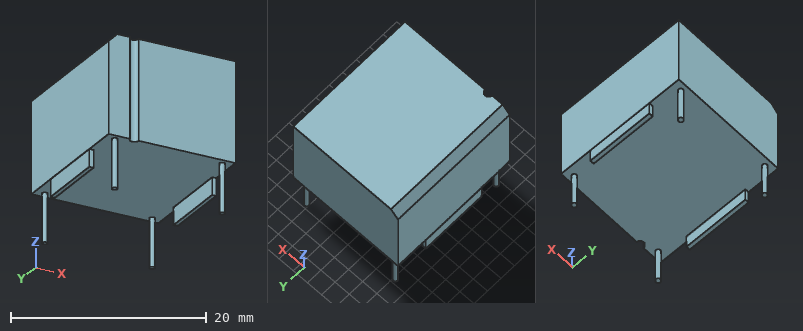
import cadquery as cq

TOTAL_HEIGHT = 17.1
HOUSING_WIDTH = 14.8
HOUSING_DEPTH = 16.6
HOUSING_HEIGHT = 11.5
TOP_CHAMFER = 1.0

GROOVE_RADIUS = 0.5
GROOVE_FROM_LEFT = 3.0

PIN_DIAMETER = 0.6
PIN_LENGTH = TOTAL_HEIGHT - HOUSING_HEIGHT
PIN_PITCH_X = 12.5
PIN_PITCH_Y = 15.0

TAB_THICKNESS = 0.5
TAB_LENGTH = HOUSING_DEPTH / 2
TAB_HEIGHT = 2.0


def make_housing():
    """Block with its upper -X edge chamfered and a marker groove in the -Y face."""
    block = cq.Workplane("XY").box(
        HOUSING_WIDTH, HOUSING_DEPTH, HOUSING_HEIGHT, centered=(True, True, False)
    )
    block = block.edges("<X and >Z").chamfer(TOP_CHAMFER)
    groove = (
        cq.Workplane("XY")
        .center(GROOVE_FROM_LEFT - HOUSING_WIDTH / 2, -HOUSING_DEPTH / 2)
        .circle(GROOVE_RADIUS)
        .extrude(HOUSING_HEIGHT)
    )
    return block.cut(groove)


def make_pin(x, y):
    """Round pin hanging from the underside of the housing."""
    return cq.Workplane("XY").center(x, y).circle(PIN_DIAMETER / 2).extrude(-PIN_LENGTH)


def make_tab(side):
    """Flat tab under the housing; side is -1 for the -X face and +1 for the +X face."""
    x = side * (HOUSING_WIDTH - TAB_THICKNESS) / 2
    return cq.Workplane("XY").center(x, 0).rect(TAB_THICKNESS, TAB_LENGTH).extrude(-TAB_HEIGHT)


SIDES = (-1, 1)

housing = make_housing()
pins = [
    make_pin(side_x * PIN_PITCH_X / 2, side_y * PIN_PITCH_Y / 2)
    for side_x in SIDES
    for side_y in SIDES
]
tabs = [make_tab(side) for side in SIDES]

result = cq.Compound.makeCompound([housing.val(), *[body.val() for body in pins + tabs]])